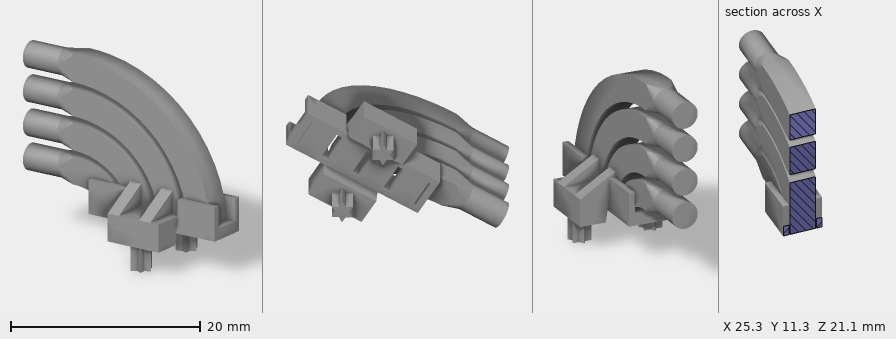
import cadquery as cq
import math


pipe_count = 4
pipe_width = 3.0
pipe_radius = pipe_width / 2
pipe_pitch = 3.8
round_length = 4.45
transition_length = 2.03
lowest_pipe_top = 5.6
lowest_pipe_reach = 6.5
bend_foot_heights = [1.01, 0.45, 0.2, 0]

channel_start = 2.54
channel_end = 18.85
channel_length = channel_end - channel_start
channel_width = 4.5
channel_height = 3.8
wall_thickness = 0.68
channel_inner_width = channel_width - 2 * wall_thickness
floor_thickness = 1.3
opening_start = channel_start + wall_thickness
end_bar = 0.89
opening_end = channel_end - end_bar

saddle_start = 7.43
saddle_length = 6.6
saddle_width = 11.3
saddle_bottom = -1.22
saddle_top = 1.9
foot_spread = 5.27
notch_clearance = 0.08

rib_width = 1.45
rib_pitch = 4.05
rib_top = 4.4

pin_radius = 1.27
pin_length = 2.86
pin_y = 4.15
pin_x = saddle_start + saddle_length / 2
pin_points = 6


def make_block(start_x, bottom, length, width, height):
    """Box centred on the mid-plane, from its low-X end and its underside."""
    return (
        cq.Workplane("XY", origin=(start_x, 0, bottom))
        .box(length, width, height, centered=(False, True, False))
    )


def make_transition(center_z):
    """Square end at X = 0 running into a round end: four corner cones and two wedges."""
    round_x = -transition_length
    square_low = center_z - pipe_radius
    square_high = center_z + pipe_radius
    upright_wedge = (
        cq.Workplane("XY", origin=(0, 0, square_low))
        .polyline([(round_x, 0), (0, -pipe_radius), (0, pipe_radius)])
        .close()
        .extrude(pipe_width)
    )
    flat_wedge = (
        cq.Workplane("XZ", origin=(0, pipe_radius, 0))
        .polyline([(round_x, center_z), (0, square_low), (0, square_high)])
        .close()
        .extrude(pipe_width)
    )
    transition = upright_wedge.union(flat_wedge)
    for side_y in (-pipe_radius, pipe_radius):
        for side_z in (-pipe_radius, pipe_radius):
            quarter_disc = (
                cq.Workplane("YZ", origin=(round_x, 0, center_z))
                .lineTo(side_y, 0)
                .threePointArc((side_y * math.sqrt(0.5), side_z * math.sqrt(0.5)), (0, side_z))
                .close()
                .wires()
                .val()
            )
            corner = cq.Vertex.makeVertex(0, side_y, center_z + side_z)
            cone = cq.occ_impl.shapes.loft(quarter_disc, corner, cap=True, ruled=True)
            transition = transition.union(cq.Workplane(obj=cone))
    return transition


def make_quarter(reach, top, foot):
    """Plate bounded by a quarter ellipse that runs straight down below the height of its foot."""
    ellipse = (
        cq.Workplane("XZ", origin=(0, pipe_radius, foot))
        .ellipse(reach, top - foot)
        .extrude(pipe_width)
    )
    plate = ellipse.intersect(make_block(0, foot, reach, pipe_width, top - foot))
    if foot > 0:
        plate = plate.union(make_block(0, 0, reach, pipe_width, foot))
    return plate


def make_bend(number):
    """Square bend from the transition down to the level of the channel's underside."""
    outer_top = lowest_pipe_top + number * pipe_pitch
    outer_reach = lowest_pipe_reach + number * pipe_pitch
    foot = bend_foot_heights[number]
    outer = make_quarter(outer_reach, outer_top, foot)
    inner = make_quarter(outer_reach - pipe_width, outer_top - pipe_width, foot)
    return outer.cut(inner)


def make_pipe(number):
    """Round straight end, round-to-square transition and square bend."""
    center_z = lowest_pipe_top - pipe_radius + number * pipe_pitch
    round_end = (
        cq.Workplane("YZ", origin=(-transition_length, 0, center_z))
        .circle(pipe_radius)
        .extrude(-round_length)
    )
    return round_end.union(make_transition(center_z)).union(make_bend(number))


def make_channel():
    """U-shaped channel with a floor opening for the pipes and wall notches for the saddle."""
    wall_height = channel_height - floor_thickness
    outside = make_block(channel_start, 0, channel_length, channel_width, channel_height)
    trough = make_block(channel_start, floor_thickness, channel_length, channel_inner_width, wall_height)
    opening_length = opening_end - opening_start
    opening = make_block(opening_start, 0, opening_length, channel_inner_width, floor_thickness)
    notch_start = saddle_start - notch_clearance
    notch_length = saddle_length + 2 * notch_clearance
    notches = make_block(notch_start, floor_thickness, notch_length, channel_width, wall_height)
    return outside.cut(trough).cut(opening).cut(notches)


def make_star_pin(center_y):
    """Six-pointed star prism, outlined as two overlapping triangles."""
    valley_radius = pin_radius / math.sqrt(3)
    outline = []
    for step in range(2 * pin_points):
        radius = pin_radius if step % 2 == 0 else valley_radius
        angle = math.pi * step / pin_points
        outline.append((pin_x + radius * math.cos(angle), center_y + radius * math.sin(angle)))
    return (
        cq.Workplane("XY", origin=(0, 0, saddle_bottom))
        .polyline(outline)
        .close()
        .extrude(-pin_length)
    )


def make_saddle_frame():
    """Block with a flared tunnel over the channel floor, ribs on its top and star pins below."""
    section = cq.Workplane("YZ", origin=(saddle_start, 0, 0))
    tunnel = (
        section
        .polyline([
            (-foot_spread / 2, saddle_bottom),
            (-channel_width / 2, floor_thickness),
            (channel_width / 2, floor_thickness),
            (foot_spread / 2, saddle_bottom),
        ])
        .close()
        .extrude(saddle_length)
    )
    saddle_height = saddle_top - saddle_bottom
    frame = make_block(saddle_start, saddle_bottom, saddle_length, saddle_width, saddle_height).cut(tunnel)
    for side in (-1, 1):
        rib = (
            section
            .polyline([
                (side * saddle_width / 2, saddle_top),
                (side * pipe_radius, saddle_top),
                (side * pipe_radius, rib_top),
            ])
            .close()
            .extrude(rib_width)
        )
        frame = frame.union(rib).union(rib.translate((rib_pitch, 0, 0)))
        frame = frame.union(make_star_pin(side * pin_y))
    return frame


def make_saddle():
    """Saddle in one piece with the two middle pipes, which grow through its bridge."""
    saddle = make_saddle_frame()
    for number in range(1, pipe_count - 1):
        saddle = saddle.union(make_pipe(number))
    return saddle


channel = make_channel()
saddle = make_saddle()
loose_pipes = [make_pipe(number) for number in (0, pipe_count - 1)]

result = cq.Compound.makeCompound([channel.val(), saddle.val(), *[pipe.val() for pipe in loose_pipes]])